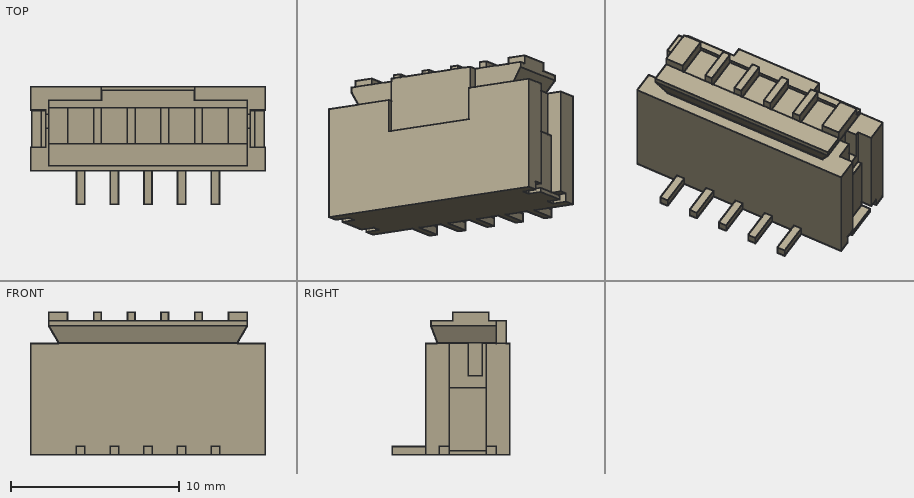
import cadquery as cq

HOUSING_LENGTH = 13.95
HOUSING_DEPTH = 5.0
HOUSING_HEIGHT = 6.62
HALF_LENGTH = HOUSING_LENGTH / 2

CHANNEL_FRONT = 1.4
CHANNEL_BACK = 3.6
CHANNEL_DEPTH = 0.9
CHANNEL_FLOOR = -HALF_LENGTH + CHANNEL_DEPTH

WINDOW_FRONT = 2.52
WINDOW_BACK = 3.37
WINDOW_FLOOR = 4.7

TAB_BACK = 3.58
TAB_HEIGHT = 4.0
TAB_THICKNESS = 0.25
FOOT_RECESS = 0.06

FOOT_NOTCH_FRONT = 0.8
FOOT_NOTCH_BACK = 4.2
FOOT_NOTCH_HEIGHT = 0.5

PITCH = 2.0
PIN_COUNT = 5
PIN_SIZE = 0.5
PIN_REACH = 2.0

TOTAL_HEIGHT = 8.47
CAP_TOP = 7.97
CAP_RIM_BOTTOM = 7.66
CAP_NECK_TOP = 6.67
CAP_HALF_LENGTH = 5.9
CAP_NECK_HALF_LENGTH = 5.32
CAP_FRONT = 0.3
CAP_NECK_FRONT = 0.68
CAP_BACK = 4.2

RIB_FRONT = 1.6
RIB_BACK = 3.75
RIB_COUNT = 4
RIB_WIDTH = 0.46
END_BLOCK_LENGTH = 1.13
POCKET_DEPTH = 0.2

KEY_HALF_LENGTH = 2.75
KEY_BACK = 4.79
KEY_CLEARANCE = 0.04
KEY_NOTCH_FLOOR = WINDOW_FLOOR


def box(x_min, x_max, y_min, y_max, z_min, z_max):
    """Axis-aligned box between the given limits."""
    size = (x_max - x_min, y_max - y_min, z_max - z_min)
    return cq.Workplane("XY").box(*size, centered=False).translate((x_min, y_min, z_min))


def both_ends(shape):
    """The shape at the -X end together with its mirror image at the +X end."""
    return shape.union(shape.mirror("YZ"))


def row_positions(count):
    """X positions of a row of items at the pitch, centred on X = 0."""
    return [(i - (count - 1) / 2) * PITCH for i in range(count)]


def make_housing():
    key_notch_half = KEY_HALF_LENGTH + KEY_CLEARANCE
    body = box(-HALF_LENGTH, HALF_LENGTH, 0, HOUSING_DEPTH, 0, HOUSING_HEIGHT)
    channel = box(-HALF_LENGTH, CHANNEL_FLOOR, CHANNEL_FRONT, CHANNEL_BACK, 0, HOUSING_HEIGHT)
    window = box(CHANNEL_FLOOR, -CAP_NECK_HALF_LENGTH, WINDOW_FRONT, WINDOW_BACK,
                 WINDOW_FLOOR, HOUSING_HEIGHT)
    foot_notch = box(-HALF_LENGTH, CHANNEL_FLOOR, FOOT_NOTCH_FRONT, FOOT_NOTCH_BACK,
                     0, FOOT_NOTCH_HEIGHT)
    key_notch = box(-key_notch_half, key_notch_half, CAP_BACK, HOUSING_DEPTH,
                    KEY_NOTCH_FLOOR, HOUSING_HEIGHT)
    end_cuts = channel.union(window).union(foot_notch)
    return body.cut(both_ends(end_cuts)).cut(key_notch)


def make_solder_tabs():
    plate = box(CHANNEL_FLOOR - TAB_THICKNESS, CHANNEL_FLOOR, CHANNEL_FRONT, TAB_BACK, 0, TAB_HEIGHT)
    foot = box(-HALF_LENGTH + FOOT_RECESS, CHANNEL_FLOOR, CHANNEL_FRONT, TAB_BACK, 0, TAB_THICKNESS)
    return both_ends(plate.union(foot))


def make_pins():
    pins = cq.Workplane("XY")
    for x in row_positions(PIN_COUNT):
        pins = pins.union(box(x - PIN_SIZE / 2, x + PIN_SIZE / 2, -PIN_REACH, 0, 0, PIN_SIZE))
    return pins


def cap_outline(half_length, front, z):
    """Rectangular wire across the cap at height z."""
    corners = [
        (-half_length, front, z),
        (half_length, front, z),
        (half_length, CAP_BACK, z),
        (-half_length, CAP_BACK, z),
    ]
    return cq.Wire.makePolygon([cq.Vector(*corner) for corner in corners], close=True)


def make_cap_flare():
    """Part of the cap that widens from the neck to the rim at both ends and in front."""
    neck_outline = cap_outline(CAP_NECK_HALF_LENGTH, CAP_NECK_FRONT, CAP_NECK_TOP)
    rim_outline = cap_outline(CAP_HALF_LENGTH, CAP_FRONT, CAP_RIM_BOTTOM)
    return cq.Workplane(cq.Solid.makeLoft([neck_outline, rim_outline], True))


def make_cap_body():
    neck = box(-CAP_NECK_HALF_LENGTH, CAP_NECK_HALF_LENGTH, CAP_NECK_FRONT, CAP_BACK,
               HOUSING_HEIGHT, CAP_NECK_TOP)
    rim = box(-CAP_HALF_LENGTH, CAP_HALF_LENGTH, CAP_FRONT, CAP_BACK, CAP_RIM_BOTTOM, CAP_TOP)
    key = box(-KEY_HALF_LENGTH, KEY_HALF_LENGTH, CAP_BACK, KEY_BACK, KEY_NOTCH_FLOOR, CAP_TOP)
    return neck.union(make_cap_flare()).union(rim).union(key)


def make_cap():
    """Cap with a long pocket in its top, divided by ribs and closed by an end block at each end."""
    pocket_half_length = CAP_HALF_LENGTH - END_BLOCK_LENGTH
    pocket_floor = CAP_TOP - POCKET_DEPTH
    pocket = box(-pocket_half_length, pocket_half_length, RIB_FRONT, RIB_BACK, pocket_floor, CAP_TOP)
    end_block = box(-CAP_HALF_LENGTH, -pocket_half_length, RIB_FRONT, RIB_BACK, CAP_TOP, TOTAL_HEIGHT)
    cap = make_cap_body().cut(pocket).union(both_ends(end_block))
    for x in row_positions(RIB_COUNT):
        rib = box(x - RIB_WIDTH / 2, x + RIB_WIDTH / 2, RIB_FRONT, RIB_BACK, pocket_floor, TOTAL_HEIGHT)
        cap = cap.union(rib)
    return cap


result = make_housing().union(make_solder_tabs()).union(make_pins()).union(make_cap())